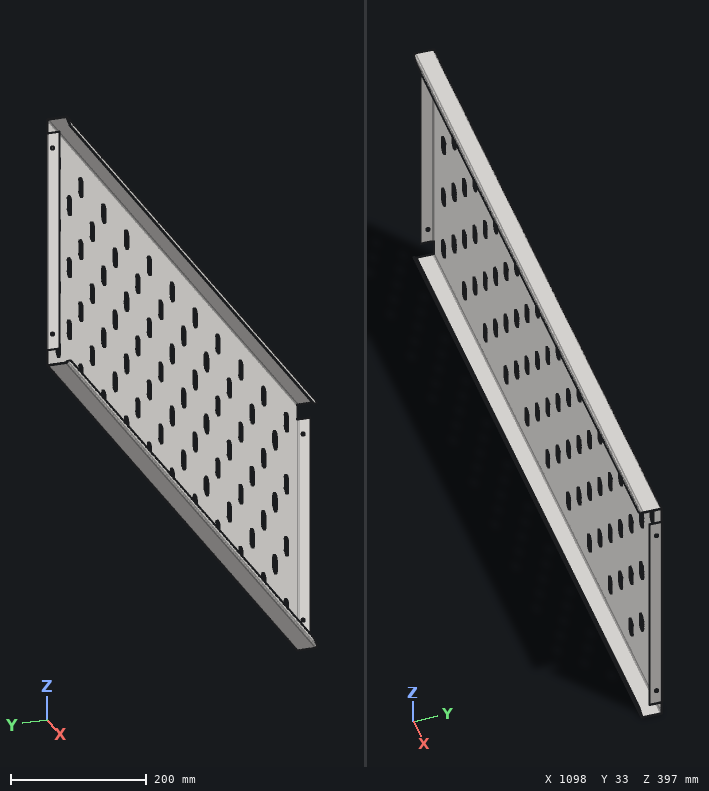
import cadquery as cq

length = 1098.0
depth = 33.0
height = 397.0

sheet = 1.5
bend_radius = 3.0
inner_radius = bend_radius - sheet

channel_length = length - 2 * bend_radius
lip_height = 10.0
lip_cut_length = 13.0
lip_cut_height = 7.0

end_flange_height = 349.0
end_flange_depth = 21.0
end_hole_diameter = 4.9
end_hole_spacing = 300.0
end_hole_setback = 10.0

slot_length = 30.0
slot_width = 15.0
column_pitch = 100.0
row_pitch = column_pitch / 2
row_count = 7
long_row_slots = 11

back = depth / 2
front = -depth / 2
top = height / 2
end = length / 2


def rounded_bar(size_x, size_y, size_z, edges, radius):
    """Box centred on the origin with the selected edges rounded."""
    return cq.Workplane("XY").box(size_x, size_y, size_z).edges(edges).fillet(radius)


def channel():
    """Back panel with long flanges and lips, folded from one sheet."""
    outside = rounded_bar(channel_length, depth, height, "|X", bend_radius)
    inside = rounded_bar(channel_length, depth - 2 * sheet, height - 2 * sheet, "|X", inner_radius)
    mouth = cq.Workplane("XY").box(channel_length, depth, height - 2 * lip_height)
    return outside.cut(inside).cut(mouth.translate((0, front, 0)))


def lip_corner_cut(x_side, z_side):
    """Wedge that slopes the end of one lip."""
    x_end = x_side * channel_length / 2
    z_edge = z_side * (top - lip_height)
    return (
        cq.Workplane("XZ", origin=(0, front, 0))
        .moveTo(x_end, z_edge)
        .lineTo(x_end - x_side * lip_cut_length, z_edge)
        .lineTo(x_end, z_edge + z_side * lip_cut_height)
        .close()
        .extrude(-bend_radius)
    )


def end_flanges():
    """Tray without long sides: both short flanges, their folds and the panel between them."""
    back_corners = ">Y and |Z"
    outside = rounded_bar(length, 2 * end_flange_depth, end_flange_height, back_corners, bend_radius)
    inside = rounded_bar(
        length - 2 * sheet, 2 * (end_flange_depth - sheet), end_flange_height, back_corners, inner_radius
    )
    back_half = cq.Workplane("XY").box(length, end_flange_depth, end_flange_height)
    tray = outside.cut(inside).intersect(back_half.translate((0, end_flange_depth / 2, 0)))
    return tray.translate((0, back - end_flange_depth, 0))


def end_holes():
    """Two round holes through each short flange."""
    return (
        cq.Workplane("YZ", origin=(-end, back - end_hole_setback, 0))
        .pushPoints([(0, -end_hole_spacing / 2), (0, end_hole_spacing / 2)])
        .circle(end_hole_diameter / 2)
        .extrude(length)
    )


def slot_centres():
    """Centres of the staggered slots; every second row is one slot shorter."""
    centres = []
    for row in range(row_count):
        z = (row - (row_count - 1) / 2) * row_pitch
        slots_in_row = long_row_slots - row % 2
        for column in range(slots_in_row):
            x = (column - (slots_in_row - 1) / 2) * column_pitch
            centres.append((x, z))
    return centres


def panel_slots():
    """Upright slots through the back panel."""
    return (
        cq.Workplane("XZ", origin=(0, back, 0))
        .pushPoints(slot_centres())
        .slot2D(slot_length, slot_width, 90)
        .extrude(sheet)
    )


result = channel().union(end_flanges())
for x_side in (-1, 1):
    for z_side in (-1, 1):
        result = result.cut(lip_corner_cut(x_side, z_side))
result = result.cut(end_holes()).cut(panel_slots())